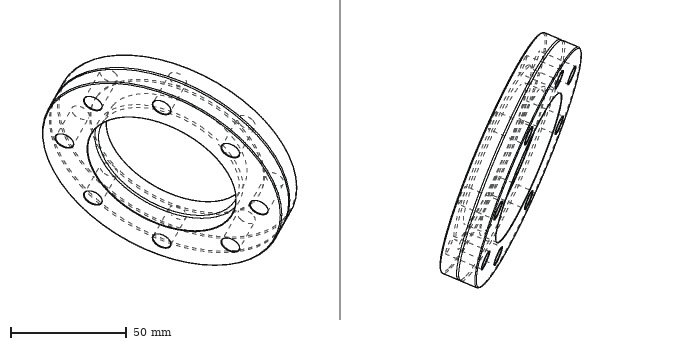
import cadquery as cq

outer_diameter = 113.5
thickness = 17.3
edge_chamfer = 0.5
outer_radius = outer_diameter / 2
front_face = -thickness / 2
rear_face = thickness / 2

bore_diameter = 66.7
socket_diameter = 70.3
socket_depth = 7.8
socket_chamfer = 0.2
recess_diameter = 82.5
recess_depth = 1.0

groove_width = 1.0
groove_depth = 0.25

bolt_count = 8
bolt_diameter = 8.4
bolt_chamfer = 0.25
bolt_circle_diameter = 92.2


def flange_body():
    """Ring with a stepped bore and a grooved rim: half section in XY, revolved about Y."""
    bore_radius = bore_diameter / 2
    socket_radius = socket_diameter / 2
    recess_radius = recess_diameter / 2
    step = front_face + socket_depth
    recess_floor = rear_face - recess_depth
    section = (
        cq.Workplane("XY")
        .moveTo(outer_radius - edge_chamfer, front_face)
        .lineTo(outer_radius, front_face + edge_chamfer)
        .lineTo(outer_radius, -groove_width / 2)
        .threePointArc((outer_radius - groove_depth, 0), (outer_radius, groove_width / 2))
        .lineTo(outer_radius, rear_face - edge_chamfer)
        .lineTo(outer_radius - edge_chamfer, rear_face)
        .lineTo(recess_radius, rear_face)
        .lineTo(recess_radius, recess_floor)
        .lineTo(bore_radius, recess_floor)
        .lineTo(bore_radius, step)
        .lineTo(socket_radius, step)
        .lineTo(socket_radius, front_face + socket_chamfer)
        .lineTo(socket_radius + socket_chamfer, front_face)
        .close()
    )
    return section.revolve(360, (0, 0, 0), (0, 1, 0))


def bolt_cutter():
    """One through hole with its front chamfer, half section in XY revolved about Y."""
    bolt_radius = bolt_diameter / 2
    section = (
        cq.Workplane("XY")
        .moveTo(0, front_face)
        .lineTo(bolt_radius + bolt_chamfer, front_face)
        .lineTo(bolt_radius, front_face + bolt_chamfer)
        .lineTo(bolt_radius, rear_face)
        .lineTo(0, rear_face)
        .close()
    )
    return section.revolve(360, (0, 0, 0), (0, 1, 0))


result = flange_body()
first_cutter = bolt_cutter().translate((bolt_circle_diameter / 2, 0, 0))
for index in range(bolt_count):
    angle = index * 360 / bolt_count
    result = result.cut(first_cutter.rotate((0, 0, 0), (0, 1, 0), angle))